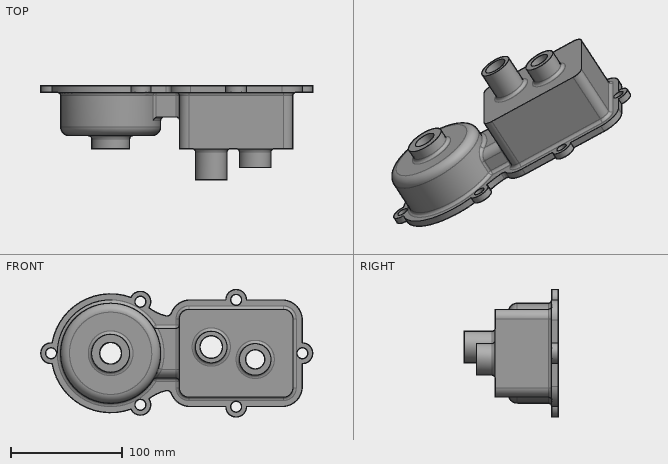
import math

import cadquery as cq


FLANGE_THICKNESS = 6.0
LUG_RADIUS = 9.37
SCREW_HOLE_RADIUS = 4.8

DRUM_RADIUS = 45.0
DRUM_HEIGHT = 45.0
DRUM_EDGE_ROUND = 8.0
DRUM_FLANGE_RADIUS = 53.5
DRUM_LUG_ANGLES = (60, 180, 300)

BOX_CENTER_X = 112.79
BOX_LENGTH = 102.0
BOX_WIDTH = 79.0
BOX_HEIGHT = 56.8
BOX_CORNER_RADIUS = 8.5
BOX_FLANGE_MARGIN = 8.5
BOX_FLANGE_CORNER_RADIUS = 18.3

BRIDGE_HEIGHT = 28.2
BRIDGE_HALF_WIDTH = 22.4
BRIDGE_EDGE_ROUND = 8.0

WAIST_ARC_RADIUS = 40.0
WAIST_ARC_ANGLE = 51.0
WAIST_CORNER_RADIUS = 4.0

ROOT_ROUND = 3.0

DRUM_BOSS_RADIUS = 17.1
DRUM_BOSS_TOP = BOX_HEIGHT
DRUM_BORE_RADIUS = 9.6
DRUM_BORE_DEPTH = 9.0
DRUM_INNER_BORE_RADIUS = 10.0

BOX_BOSS_RADIUS = 14.2
TALL_BOSS_CENTER = (90.4, 5.6)
TALL_BOSS_TOP = 84.66
TALL_BORE_RADIUS = 10.0
SHORT_BOSS_CENTER = (129.9, -5.5)
SHORT_BOSS_TOP = 73.6
SHORT_BORE_RADIUS = 8.5

TOLERANCE = 0.1

BOX_FLANGE_HALF_LENGTH = BOX_LENGTH / 2 + BOX_FLANGE_MARGIN
BOX_FLANGE_HALF_WIDTH = BOX_WIDTH / 2 + BOX_FLANGE_MARGIN


def polar(radius, angle):
    """Point (x, z) at a radius and an angle in degrees from the drum axis."""
    turn = math.radians(angle)
    return (radius * math.cos(turn), radius * math.sin(turn))


def toward(start, end, distance):
    """Point at a distance from start on the ray through end."""
    ratio = distance / math.dist(start, end)
    return tuple(s + ratio * (e - s) for s, e in zip(start, end))


def plane_at(height):
    """Workplane parallel to the mating face, at a height above it."""
    return cq.Workplane("XZ", origin=(0, -height, 0))


def lug_centers():
    around_drum = [polar(DRUM_FLANGE_RADIUS, angle) for angle in DRUM_LUG_ANGLES]
    around_box = [
        (BOX_CENTER_X, BOX_FLANGE_HALF_WIDTH),
        (BOX_CENTER_X, -BOX_FLANGE_HALF_WIDTH),
        (BOX_CENTER_X + BOX_FLANGE_HALF_LENGTH, 0),
    ]
    return around_drum + around_box


def rounded_block(length, width, height, corner_radius):
    block = plane_at(0).center(BOX_CENTER_X, 0).rect(length, width).extrude(height)
    return block.edges("|Y").fillet(corner_radius)


def flange_waist():
    """Web whose hollow sides run from the drum flange into the box flange corners."""
    arc_center = polar(DRUM_FLANGE_RADIUS + WAIST_ARC_RADIUS, WAIST_ARC_ANGLE)
    box_corner = (
        BOX_CENTER_X - BOX_FLANGE_HALF_LENGTH + BOX_FLANGE_CORNER_RADIUS,
        BOX_FLANGE_HALF_WIDTH - BOX_FLANGE_CORNER_RADIUS,
    )
    to_arc_center = WAIST_ARC_RADIUS - WAIST_CORNER_RADIUS
    to_box_corner = BOX_FLANGE_CORNER_RADIUS + WAIST_CORNER_RADIUS
    span = math.dist(box_corner, arc_center)
    along = (to_box_corner**2 - to_arc_center**2 + span**2) / (2 * span)
    across = math.sqrt(to_box_corner**2 - along**2)
    foot = toward(box_corner, arc_center, along)
    unit_x = (arc_center[0] - box_corner[0]) / span
    unit_z = (arc_center[1] - box_corner[1]) / span
    corner_center = (foot[0] - across * unit_z, foot[1] + across * unit_x)

    drum_end = polar(DRUM_FLANGE_RADIUS, WAIST_ARC_ANGLE)
    arc_end = toward(arc_center, corner_center, WAIST_ARC_RADIUS)
    box_end = toward(corner_center, box_corner, WAIST_CORNER_RADIUS)
    half_web = (
        plane_at(0)
        .moveTo(drum_end[0], 0)
        .lineTo(*drum_end)
        .radiusArc(arc_end, -WAIST_ARC_RADIUS)
        .radiusArc(box_end, -WAIST_CORNER_RADIUS)
        .lineTo(*box_corner)
        .lineTo(box_corner[0], 0)
        .close()
        .extrude(FLANGE_THICKNESS)
    )
    return half_web.union(half_web.mirror("XY"))


def flange():
    plate = plane_at(0).circle(DRUM_FLANGE_RADIUS).extrude(FLANGE_THICKNESS)
    box_side = rounded_block(
        2 * BOX_FLANGE_HALF_LENGTH,
        2 * BOX_FLANGE_HALF_WIDTH,
        FLANGE_THICKNESS,
        BOX_FLANGE_CORNER_RADIUS,
    )
    lugs = plane_at(0).pushPoints(lug_centers()).circle(LUG_RADIUS).extrude(FLANGE_THICKNESS)
    return plate.union(box_side).union(flange_waist()).union(lugs)


def drum():
    """Drum with a rounded outer edge, turned about the Y axis."""
    face_radius = DRUM_RADIUS - DRUM_EDGE_ROUND
    wall_height = DRUM_HEIGHT - DRUM_EDGE_ROUND
    return (
        cq.Workplane("YZ")
        .lineTo(0, DRUM_RADIUS)
        .lineTo(-wall_height, DRUM_RADIUS)
        .radiusArc((-DRUM_HEIGHT, face_radius), -DRUM_EDGE_ROUND)
        .lineTo(-DRUM_HEIGHT, 0)
        .close()
        .revolve(360, (0, 0, 0), (1, 0, 0))
    )


def bridge():
    """Block from the drum axis to the box centre, rounded along its lower outer edge."""
    block = (
        plane_at(0)
        .center(BOX_CENTER_X / 2, 0)
        .rect(BOX_CENTER_X, 2 * BRIDGE_HALF_WIDTH)
        .extrude(BRIDGE_HEIGHT)
    )
    return block.faces("<Y").edges("<Z").fillet(BRIDGE_EDGE_ROUND)


def housing():
    """Flange, drum, box and bridge as one body with rounded inside corners."""
    box = rounded_block(BOX_LENGTH, BOX_WIDTH, BOX_HEIGHT, BOX_CORNER_RADIUS)
    body = flange().union(drum()).union(box).union(bridge())

    flange_face = body.faces(cq.selectors.BoxSelector(
        (-DRUM_FLANGE_RADIUS, -FLANGE_THICKNESS - TOLERANCE, -DRUM_FLANGE_RADIUS),
        (BOX_CENTER_X, -FLANGE_THICKNESS + TOLERANCE, DRUM_FLANGE_RADIUS),
    )).val()
    root_edges = [edge for wire in flange_face.innerWires() for edge in wire.Edges()]

    box_side_x = BOX_CENTER_X - BOX_LENGTH / 2
    bridge_middle = (DRUM_RADIUS + box_side_x) / 2
    bridge_end_gap = (box_side_x - DRUM_RADIUS) / 4
    for edge in body.edges().vals():
        middle = edge.Center()
        along_bridge = 0 < middle.x < box_side_x + TOLERANCE
        across_bridge = abs(middle.z) < BRIDGE_HALF_WIDTH + TOLERANCE
        over_flange = FLANGE_THICKNESS + TOLERANCE < -middle.y < BRIDGE_HEIGHT + TOLERANCE
        at_bridge_end = abs(middle.x - bridge_middle) > bridge_end_gap
        if along_bridge and across_bridge and over_flange and at_bridge_end:
            root_edges.append(edge)
    return body.newObject(root_edges).fillet(ROOT_ROUND)


def add_boss(body, center, radius, base, top):
    """Round boss from its base face to its top, with a flared root on the base face."""
    boss = plane_at(base).center(*center).circle(radius).extrude(top - base)
    flare = (
        cq.Workplane("XY")
        .moveTo(0, -base)
        .lineTo(radius + ROOT_ROUND, -base)
        .radiusArc((radius, -base - ROOT_ROUND), -ROOT_ROUND)
        .lineTo(0, -base - ROOT_ROUND)
        .close()
        .revolve(360, (0, 0, 0), (0, 1, 0))
        .translate((center[0], 0, center[1]))
    )
    return body.union(boss).union(flare)


def cut_bore(body, center, radius, top, bottom=0):
    return body.cut(plane_at(bottom).center(*center).circle(radius).extrude(top - bottom))


def build():
    part = housing()
    drum_center = (0, 0)
    part = add_boss(part, drum_center, DRUM_BOSS_RADIUS, DRUM_HEIGHT, DRUM_BOSS_TOP)
    part = add_boss(part, TALL_BOSS_CENTER, BOX_BOSS_RADIUS, BOX_HEIGHT, TALL_BOSS_TOP)
    part = add_boss(part, SHORT_BOSS_CENTER, BOX_BOSS_RADIUS, BOX_HEIGHT, SHORT_BOSS_TOP)

    part = cut_bore(part, TALL_BOSS_CENTER, TALL_BORE_RADIUS, TALL_BOSS_TOP)
    part = cut_bore(part, SHORT_BOSS_CENTER, SHORT_BORE_RADIUS, SHORT_BOSS_TOP)
    bore_step = DRUM_BOSS_TOP - DRUM_BORE_DEPTH
    part = cut_bore(part, drum_center, DRUM_BORE_RADIUS, DRUM_BOSS_TOP, bore_step)
    part = cut_bore(part, drum_center, DRUM_INNER_BORE_RADIUS, bore_step)

    for center in lug_centers():
        part = cut_bore(part, center, SCREW_HOLE_RADIUS, FLANGE_THICKNESS)
    return part


result = build()